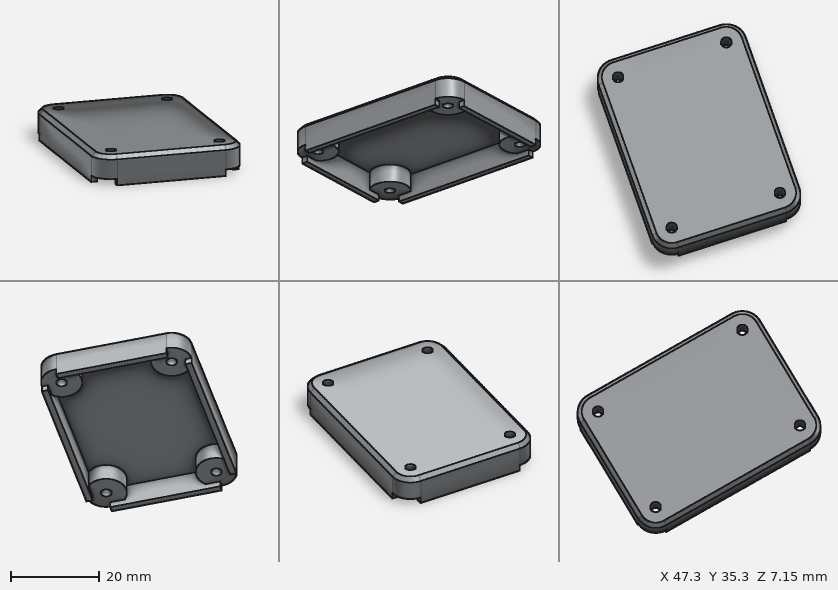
import cadquery as cq

length = 47.3
width = 35.3
height = 7.15

plate_thickness = 1.32
wall_thickness = 1.45
corner_radius = 4.7
top_chamfer = 1.0

post_recess = 1.5
hole_diameter = 2.4

straight_length = length - 2 * corner_radius
straight_width = width - 2 * corner_radius
inner_length = length - 2 * wall_thickness
inner_width = width - 2 * wall_thickness
wall_height = height - plate_thickness


def make_block():
    """Solid rounded block with a chamfered top rim."""
    return (
        cq.Workplane("XY")
        .rect(length, width)
        .extrude(height)
        .edges("|Z")
        .fillet(corner_radius)
        .faces(">Z")
        .chamfer(top_chamfer)
    )


def make_corner_cylinders(diameter):
    """One full-height cylinder on each rounded corner's centre."""
    return (
        cq.Workplane("XY")
        .rect(straight_length, straight_width, forConstruction=True)
        .vertices()
        .circle(diameter / 2)
        .extrude(height)
    )


def make_cavity():
    """Space between the walls and under the plate, leaving round corner posts."""
    cavity = cq.Workplane("XY").rect(inner_length, inner_width).extrude(wall_height)
    return cavity.cut(make_corner_cylinders(2 * corner_radius))


def make_post_clearance():
    """Space under the posts, leaving walls only along the straight sides."""
    between_walls = cq.Workplane("XY").rect(inner_length, inner_width).extrude(post_recess)
    corner_notches = (
        cq.Workplane("XY")
        .rect(length - corner_radius, width - corner_radius, forConstruction=True)
        .vertices()
        .rect(corner_radius, corner_radius)
        .extrude(post_recess)
    )
    return between_walls.union(corner_notches)


result = (
    make_block()
    .cut(make_cavity())
    .cut(make_post_clearance())
    .cut(make_corner_cylinders(hole_diameter))
)